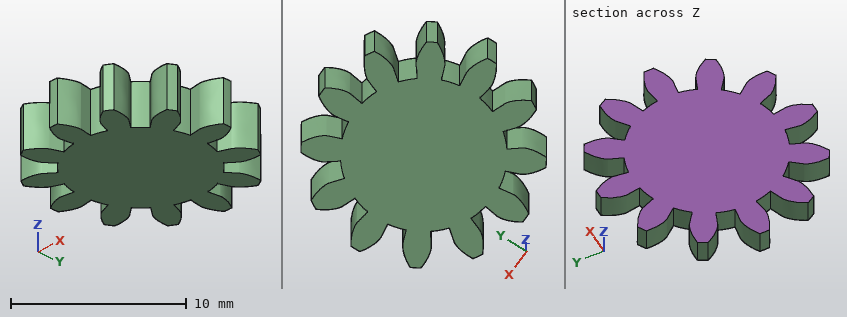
import cadquery as cq
import math

module = 1.0
tooth_count = 12
pressure_angle = math.radians(20)
thickness = 3.0
dedendum_factor = 1.25
flank_samples = 8

pitch_radius = module * tooth_count / 2
base_radius = pitch_radius * math.cos(pressure_angle)
tip_radius = pitch_radius + module
root_radius = pitch_radius - dedendum_factor * module

tooth_pitch = 2 * math.pi / tooth_count
involute_at_pitch = math.tan(pressure_angle) - pressure_angle
base_half_angle = tooth_pitch / 4 + involute_at_pitch


def polar(radius, angle):
    return (radius * math.cos(angle), radius * math.sin(angle))


def flank_half_angle(roll):
    """Half angle of the tooth where the involute has unrolled by the given angle."""
    return base_half_angle - (roll - math.atan(roll))


tip_roll = math.sqrt((tip_radius / base_radius) ** 2 - 1)
tip_half_angle = flank_half_angle(tip_roll)


def involute_flank(center_angle, side):
    """Points from the base circle to the tip; side is -1 or +1 about the tooth center."""
    points = []
    for i in range(flank_samples + 1):
        roll = tip_roll * i / flank_samples
        radius = base_radius * math.sqrt(1 + roll ** 2)
        points.append(polar(radius, center_angle + side * flank_half_angle(roll)))
    return points


def add_tooth(outline, center_angle):
    """Radial lower flanks, involute upper flanks, tip arc and the root arc that follows."""
    rising = involute_flank(center_angle, -1)
    falling = involute_flank(center_angle, 1)[::-1]
    outline = outline.lineTo(*rising[0])
    outline = outline.spline(rising[1:], includeCurrent=True)
    outline = outline.threePointArc(polar(tip_radius, center_angle), falling[0])
    outline = outline.spline(falling[1:], includeCurrent=True)
    outline = outline.lineTo(*polar(root_radius, center_angle + base_half_angle))
    return outline.threePointArc(
        polar(root_radius, center_angle + tooth_pitch / 2),
        polar(root_radius, center_angle + tooth_pitch - base_half_angle),
    )


def make_gear():
    outline = cq.Workplane("XY").moveTo(*polar(root_radius, -base_half_angle))
    for i in range(tooth_count):
        outline = add_tooth(outline, i * tooth_pitch)
    return outline.close().extrude(thickness)


result = make_gear()